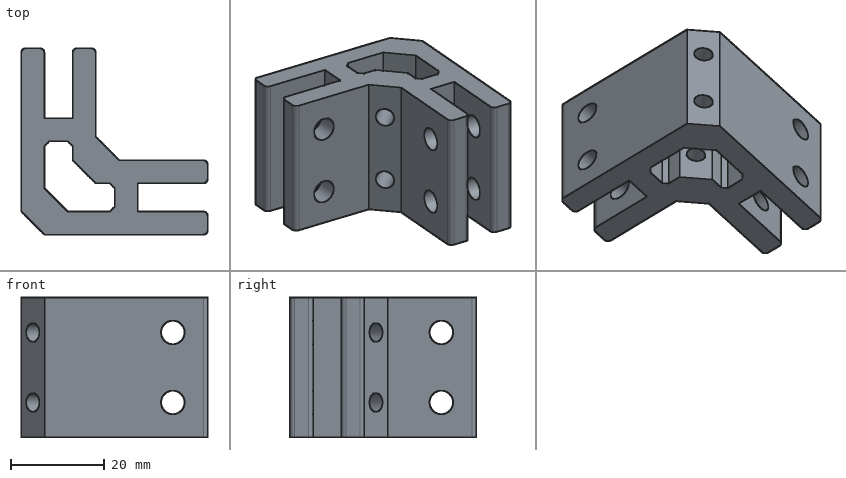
import cadquery as cq
import math

leg_length = 40.0
height = 30.0
wall = 5.0
slot_width = 6.0
slot_depth = 15.0
corner_chamfer = 5.0
tip_radius = 1.0
cavity_chamfer = 1.0
leg_hole_diameter = 5.0
corner_hole_diameter = 4.0

slot_outer = wall
slot_inner = wall + slot_width
leg_width = slot_inner + wall
slot_floor = leg_length - slot_depth
cavity_end = slot_floor - wall
leg_hole_position = leg_length - slot_depth / 2
hole_heights = (height / 4, 3 * height / 4)


def mirrored(points):
    """Close an outline by reflecting its points across the diagonal X = Y."""
    return points + [(y, x) for x, y in reversed(points)]


def make_body():
    """L-shaped prism with a panel slot in the end of each leg."""
    outline = mirrored([
        (corner_chamfer, 0),
        (leg_length, 0),
        (leg_length, slot_outer),
        (slot_floor, slot_outer),
        (slot_floor, slot_inner),
        (leg_length, slot_inner),
        (leg_length, leg_width),
        (leg_width + corner_chamfer, leg_width),
    ])
    body = cq.Workplane("XY").polyline(outline).close().extrude(height)
    body = body.faces(">X").edges("|Z").fillet(tip_radius)
    return body.faces(">Y").edges("|Z").fillet(tip_radius)


def make_cavity():
    """L-shaped hollow that runs the full height behind the slots."""
    outline = mirrored([
        (slot_outer + corner_chamfer, slot_outer),
        (cavity_end - cavity_chamfer, slot_outer),
        (cavity_end, slot_outer + cavity_chamfer),
        (cavity_end, slot_inner - cavity_chamfer),
        (cavity_end - cavity_chamfer, slot_inner),
        (slot_inner + corner_chamfer, slot_inner),
    ])
    return cq.Workplane("XY").polyline(outline).close().extrude(height)


def make_hole(diameter, length, start, direction):
    """Cylinder of the given length, drilled from start along direction."""
    cylinder = cq.Solid.makeCylinder(diameter / 2, length, cq.Vector(*start), cq.Vector(*direction))
    return cq.Workplane(cylinder)


def drill_leg_holes(body):
    """Drill the holes that cross both walls of each leg."""
    for z in hole_heights:
        x_leg_hole = make_hole(leg_hole_diameter, leg_width, (leg_hole_position, 0, z), (0, 1, 0))
        y_leg_hole = make_hole(leg_hole_diameter, leg_width, (0, leg_hole_position, z), (1, 0, 0))
        body = body.cut(x_leg_hole).cut(y_leg_hole)
    return body


def drill_corner_holes(body):
    """Drill the diagonal holes that cross the outer and inner corner walls."""
    drill_length = math.hypot(leg_length, leg_length)
    for z in hole_heights:
        body = body.cut(make_hole(corner_hole_diameter, drill_length, (0, 0, z), (1, 1, 0)))
    return body


body = make_body().cut(make_cavity())
body = drill_leg_holes(body)
result = drill_corner_holes(body)